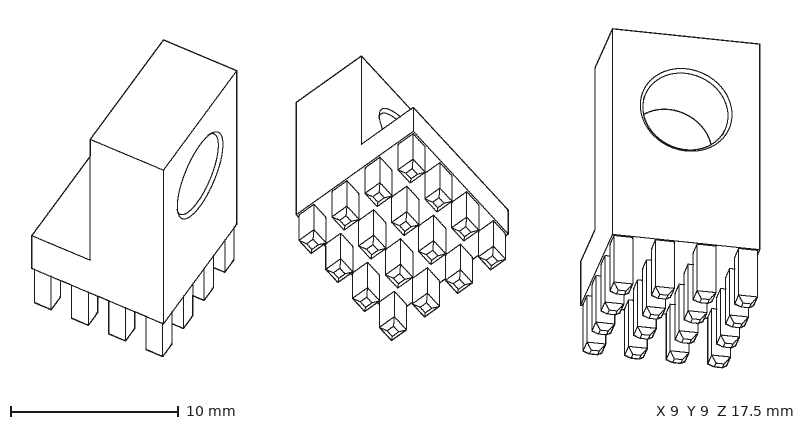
import cadquery as cq

height = 17.5
side = 9.0
pin_length = 3.5
base_top = 6.5
wall_thickness = 5.0

hole_diameter = 5.2
countersink_diameter = 5.6
countersink_depth = (countersink_diameter - hole_diameter) / 2
hole_height = 12.5

pins_per_side = 4
pin_pitch = 2.54
pin_width = 1.15
tip_chamfer = 0.33


def make_body():
    """L-shaped block: a low base with an upright wall on its +X side, centred on the Z axis."""
    base = cq.Workplane("XY").box(side, side, base_top - pin_length, centered=(True, True, False))
    wall = (
        cq.Workplane("XY")
        .box(wall_thickness, side, height - pin_length, centered=(True, True, False))
        .translate(((side - wall_thickness) / 2, 0, 0))
    )
    return base.union(wall).translate((0, 0, pin_length))


def make_hole_cutter():
    """Revolved through hole, countersunk at both faces of the wall."""
    hole_radius = hole_diameter / 2
    countersink_radius = countersink_diameter / 2
    return (
        cq.Workplane("XZ")
        .polyline([
            (0, 0),
            (0, countersink_radius),
            (countersink_depth, hole_radius),
            (wall_thickness - countersink_depth, hole_radius),
            (wall_thickness, countersink_radius),
            (wall_thickness, 0),
        ])
        .close()
        .revolve(360, (0, 0), (1, 0))
        .translate((side / 2 - wall_thickness, 0, hole_height))
    )


def make_pins():
    """Full grid of pins hanging below the base, with all four lower edges chamfered."""
    return (
        cq.Workplane("XY")
        .rarray(pin_pitch, pin_pitch, pins_per_side, pins_per_side)
        .rect(pin_width, pin_width)
        .extrude(pin_length)
        .faces("<Z")
        .chamfer(tip_chamfer)
    )


result = make_body().cut(make_hole_cutter()).union(make_pins())